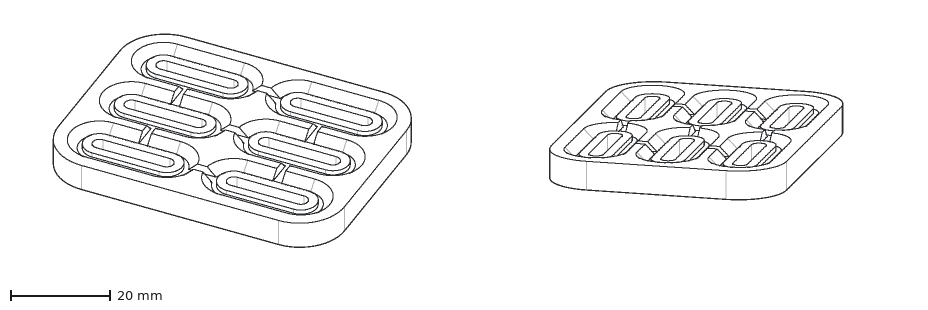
import cadquery as cq
import math

plate_length = 64.0
plate_width = 49.0
plate_height = 6.0
corner_radius = 10.0

columns = 2
rows = 3
rim = 3.0
pocket_gap = 2.0
pocket_length = (plate_length - 2 * rim - (columns - 1) * pocket_gap) / columns
pocket_width = (plate_width - 2 * rim - (rows - 1) * pocket_gap) / rows
pitch_x = pocket_length + pocket_gap
pitch_y = pocket_width + pocket_gap

pocket_depth = 2.0
wall_inset = 2.0
wall_taper = math.degrees(math.atan2(wall_inset, pocket_depth))
floor_z = plate_height - pocket_depth

floor_margin = 1.0
island_height = 1.0
island_length = pocket_length - 2 * (wall_inset + floor_margin)
island_width = pocket_width - 2 * (wall_inset + floor_margin)
island_border = 2.0
drain_length = island_length - 2 * island_border
drain_width = island_width - 2 * island_border

channel_width = 2.0


def grid_points(count_x, count_y):
    """Centred grid of points at the pocket pitch."""
    return [
        ((i - (count_x - 1) / 2) * pitch_x, (j - (count_y - 1) / 2) * pitch_y)
        for i in range(count_x)
        for j in range(count_y)
    ]


def obrounds(length, width, base_z, height, taper=0):
    """One round-ended prism per pocket; a negative height goes downwards."""
    return (
        cq.Workplane("XY", origin=(0, 0, base_z))
        .pushPoints(grid_points(columns, rows))
        .slot2D(length, width)
        .extrude(height, taper=taper)
    )


def channels(count_x, count_y, size_x, size_y):
    """Rectangular cutters from the pocket floor level up to the top face."""
    return (
        cq.Workplane("XY", origin=(0, 0, floor_z))
        .pushPoints(grid_points(count_x, count_y))
        .rect(size_x, size_y)
        .extrude(pocket_depth)
    )


plate = (
    cq.Workplane("XY")
    .rect(plate_length, plate_width)
    .extrude(plate_height)
    .edges("|Z")
    .fillet(corner_radius)
)

pockets = obrounds(pocket_length, pocket_width, plate_height, -pocket_depth, wall_taper)
islands = obrounds(island_length, island_width, floor_z, island_height)
drains = obrounds(drain_length, drain_width, 0, plate_height)

channels_x = channels(columns - 1, rows, pitch_x, channel_width)
channels_y = channels(columns, rows - 1, channel_width, pitch_y)

result = plate.cut(pockets).cut(channels_x).cut(channels_y).union(islands).cut(drains)